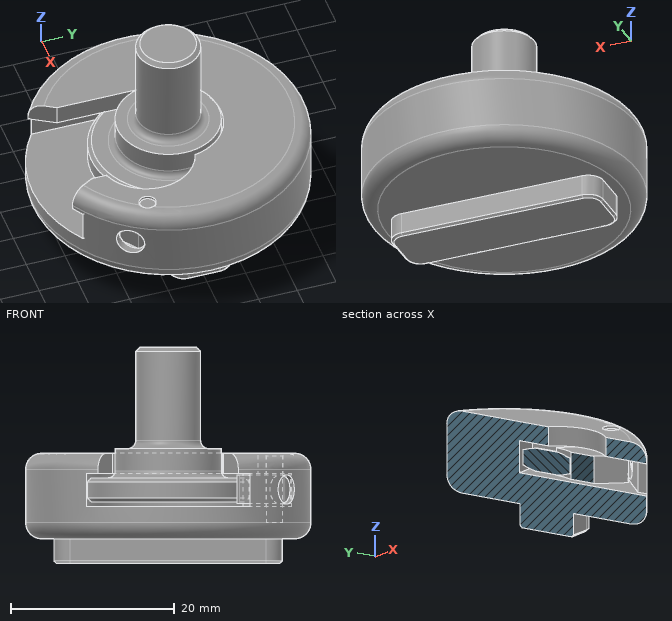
import cadquery as cq
import math

DISC_RADIUS = 17.5
DISC_HEIGHT = 10.5
DISC_ROUNDING = 2.0

KEY_LENGTH = 28.0
KEY_WIDTH = 7.98
KEY_DEPTH = 3.0
KEY_CORNER_RADIUS = 2.0
KEY_CHAMFER = 0.3

SLOT_FLOOR = 4.0
SLOT_CEILING = 8.0
SLOT_HALF_WIDTH = 10.0
OPENING_HALF_WIDTH = 6.8
FLARE_START_Y = -12.1
FLARE_ANGLE = 30.0
RELIEF_CENTER = (5.0, -4.5)
RELIEF_RADIUS = 6.0

FLANGE_RADIUS = 9.9
FLANGE_BOTTOM = 4.5
FLANGE_TOP = 7.5
FLANGE_CHAMFER = 0.5
COLLAR_RADIUS = 6.5
COLLAR_TOP = 11.05
COLLAR_FILLET = 0.85
SHANK_RADIUS = 4.0
SHANK_TOP = 23.5
SHANK_FILLET = 1.0
SHANK_CHAMFER = 0.52

LATCH_BOTTOM = 4.3
LATCH_TOP = 7.8
LATCH_HUB_RADIUS = 2.0
LATCH_ELBOW = (12.05, -10.22)
JAW_START_ANGLE = -6.0
LATCH_TIP_ANGLE = -35.3
LATCH_TIP_ROUNDING = 1.3
JAW_RADIUS = FLANGE_RADIUS + 0.05

POCKET_FRONT_Y = -13.0
POCKET_BACK_Y = 4.0
POCKET_BACK_X = 12.0
POCKET_HUB_RADIUS = LATCH_HUB_RADIUS + 0.07

PIN_CENTER = (13.02, -7.0)
PIN_RADIUS = 0.98
PIN_BOTTOM = 2.0
PIN_TOP_RECESS = 0.3
PIN_HOLE_RADIUS = 1.05

BORE_RADIUS = 1.8
BORE_ANGLE = -33.8
BORE_INNER_END = 15.5
BORE_HEIGHT = (LATCH_BOTTOM + LATCH_TOP) / 2


def polar(radius, angle_degrees):
    """Point at a radius and an angle from +X about the origin."""
    angle = math.radians(angle_degrees)
    return (radius * math.cos(angle), radius * math.sin(angle))


def hub_tangent_point(point, hub_radius, side):
    """Where a line from a point touches a circle about the pin; side is +1 or -1."""
    dx = point[0] - PIN_CENTER[0]
    dy = point[1] - PIN_CENTER[1]
    angle = math.atan2(dy, dx) + side * math.acos(hub_radius / math.hypot(dx, dy))
    x, y = polar(hub_radius, math.degrees(angle))
    return (PIN_CENTER[0] + x, PIN_CENTER[1] + y)


def hub_outermost_point(hub_radius):
    """Point of a circle about the pin that lies farthest from the Z axis."""
    return polar(math.hypot(*PIN_CENTER) + hub_radius,
                 math.degrees(math.atan2(PIN_CENTER[1], PIN_CENTER[0])))


def latch_blank(bottom, top):
    """Latch outline extruded between two heights, without its pin hole."""
    jaw_start = polar(JAW_RADIUS, JAW_START_ANGLE)
    jaw_tip = polar(JAW_RADIUS, LATCH_TIP_ANGLE)
    return (
        cq.Workplane("XY", origin=(0, 0, bottom))
        .moveTo(*jaw_start)
        .threePointArc(polar(JAW_RADIUS, (JAW_START_ANGLE + LATCH_TIP_ANGLE) / 2), jaw_tip)
        .lineTo(*LATCH_ELBOW)
        .lineTo(*hub_tangent_point(LATCH_ELBOW, LATCH_HUB_RADIUS, 1))
        .threePointArc(hub_outermost_point(LATCH_HUB_RADIUS),
                       hub_tangent_point(jaw_start, LATCH_HUB_RADIUS, -1))
        .close()
        .extrude(top - bottom)
        .edges(cq.selectors.NearestToPointSelector((*jaw_tip, (bottom + top) / 2)))
        .fillet(LATCH_TIP_ROUNDING)
    )


def latch_pocket():
    """Pocket beside the channel, as high as the channel and rounded about the pin."""
    front_corner = (SLOT_HALF_WIDTH, POCKET_FRONT_Y)
    back_corner = (POCKET_BACK_X, POCKET_BACK_Y)
    channel_meeting_x = math.sqrt(SLOT_HALF_WIDTH**2 - POCKET_BACK_Y**2)
    return (
        cq.Workplane("XY", origin=(0, 0, SLOT_FLOOR))
        .moveTo(channel_meeting_x, POCKET_BACK_Y)
        .lineTo(channel_meeting_x, POCKET_FRONT_Y)
        .lineTo(*front_corner)
        .lineTo(*hub_tangent_point(front_corner, POCKET_HUB_RADIUS, 1))
        .threePointArc(hub_outermost_point(POCKET_HUB_RADIUS),
                       hub_tangent_point(back_corner, POCKET_HUB_RADIUS, -1))
        .lineTo(*back_corner)
        .close()
        .extrude(SLOT_CEILING - SLOT_FLOOR)
    )


def stud_channel():
    """Lower channel: round around the axis and open towards -Y."""
    height = SLOT_CEILING - SLOT_FLOOR
    floor = cq.Workplane("XY", origin=(0, 0, SLOT_FLOOR))
    straight = floor.center(0, -DISC_RADIUS / 2).rect(2 * SLOT_HALF_WIDTH, DISC_RADIUS).extrude(height)
    return floor.circle(SLOT_HALF_WIDTH).extrude(height).union(straight)


def top_opening():
    """Keyhole in the top wall, flared at its mouth and relieved above the latch jaw."""
    height = DISC_HEIGHT - SLOT_CEILING
    ceiling = cq.Workplane("XY", origin=(0, 0, SLOT_CEILING))
    mouth_half_width = (OPENING_HALF_WIDTH
                        + (DISC_RADIUS + FLARE_START_Y) * math.tan(math.radians(FLARE_ANGLE)))
    keyhole = (
        ceiling.moveTo(OPENING_HALF_WIDTH, 0)
        .threePointArc((0, OPENING_HALF_WIDTH), (-OPENING_HALF_WIDTH, 0))
        .lineTo(-OPENING_HALF_WIDTH, FLARE_START_Y)
        .lineTo(-mouth_half_width, -DISC_RADIUS)
        .lineTo(mouth_half_width, -DISC_RADIUS)
        .lineTo(OPENING_HALF_WIDTH, FLARE_START_Y)
        .close()
        .extrude(height)
    )
    relief = ceiling.center(*RELIEF_CENTER).circle(RELIEF_RADIUS).extrude(height)
    return keyhole.union(relief)


def pin_hole():
    """Seat for the pin in the floor, widening to a clearance hole through the top wall."""
    seat = (
        cq.Workplane("XY", origin=(*PIN_CENTER, PIN_BOTTOM))
        .circle(PIN_RADIUS)
        .extrude(SLOT_FLOOR - PIN_BOTTOM)
    )
    clearance = (
        cq.Workplane("XY", origin=(*PIN_CENTER, SLOT_FLOOR))
        .circle(PIN_HOLE_RADIUS)
        .extrude(DISC_HEIGHT - SLOT_FLOOR)
    )
    return seat.union(clearance)


def access_bore():
    """Radial bore from the rim into the latch pocket."""
    inner_end = cq.Vector(*polar(BORE_INNER_END, BORE_ANGLE), BORE_HEIGHT)
    direction = cq.Vector(*polar(1.0, BORE_ANGLE), 0)
    return cq.Solid.makeCylinder(BORE_RADIUS, DISC_RADIUS - BORE_INNER_END + BORE_RADIUS, inner_end, direction)


def make_housing():
    disc = (
        cq.Workplane("XY")
        .circle(DISC_RADIUS)
        .extrude(DISC_HEIGHT)
        .faces("<Z or >Z")
        .edges()
        .fillet(DISC_ROUNDING)
    )
    key = (
        cq.Workplane("XY", origin=(0, 0, -KEY_DEPTH))
        .rect(KEY_LENGTH, KEY_WIDTH)
        .extrude(KEY_DEPTH)
        .edges("|Z")
        .fillet(KEY_CORNER_RADIUS)
        .faces("<Z")
        .edges()
        .chamfer(KEY_CHAMFER)
    )
    return (
        disc.union(key)
        .cut(stud_channel())
        .cut(top_opening())
        .cut(latch_pocket())
        .cut(pin_hole())
        .cut(access_bore())
    )


def make_stud():
    """Revolved stud with concave fillets at the feet of its collar and shank."""
    diagonal = 1 - math.sqrt(0.5)
    collar_foot = FLANGE_TOP + COLLAR_FILLET
    shank_foot = COLLAR_TOP + SHANK_FILLET
    return (
        cq.Workplane("XZ")
        .moveTo(0, FLANGE_BOTTOM)
        .lineTo(FLANGE_RADIUS - FLANGE_CHAMFER, FLANGE_BOTTOM)
        .lineTo(FLANGE_RADIUS, FLANGE_BOTTOM + FLANGE_CHAMFER)
        .lineTo(FLANGE_RADIUS, FLANGE_TOP - FLANGE_CHAMFER)
        .lineTo(FLANGE_RADIUS - FLANGE_CHAMFER, FLANGE_TOP)
        .lineTo(COLLAR_RADIUS + COLLAR_FILLET, FLANGE_TOP)
        .threePointArc((COLLAR_RADIUS + diagonal * COLLAR_FILLET, FLANGE_TOP + diagonal * COLLAR_FILLET),
                       (COLLAR_RADIUS, collar_foot))
        .lineTo(COLLAR_RADIUS, COLLAR_TOP)
        .lineTo(SHANK_RADIUS + SHANK_FILLET, COLLAR_TOP)
        .threePointArc((SHANK_RADIUS + diagonal * SHANK_FILLET, COLLAR_TOP + diagonal * SHANK_FILLET),
                       (SHANK_RADIUS, shank_foot))
        .lineTo(SHANK_RADIUS, SHANK_TOP - SHANK_CHAMFER)
        .lineTo(SHANK_RADIUS - SHANK_CHAMFER, SHANK_TOP)
        .lineTo(0, SHANK_TOP)
        .close()
        .revolve(360, (0, 0, 0), (0, 1, 0))
    )


def make_latch():
    bore = (
        cq.Workplane("XY", origin=(*PIN_CENTER, LATCH_BOTTOM))
        .circle(PIN_RADIUS)
        .extrude(LATCH_TOP - LATCH_BOTTOM)
    )
    return latch_blank(LATCH_BOTTOM, LATCH_TOP).cut(bore)


def make_pin():
    length = DISC_HEIGHT - PIN_TOP_RECESS - PIN_BOTTOM
    return cq.Workplane("XY", origin=(*PIN_CENTER, PIN_BOTTOM)).circle(PIN_RADIUS).extrude(length)


housing = make_housing()
stud = make_stud()
latch = make_latch()
pin = make_pin()

result = cq.Compound.makeCompound([housing.val(), stud.val(), latch.val(), pin.val()])